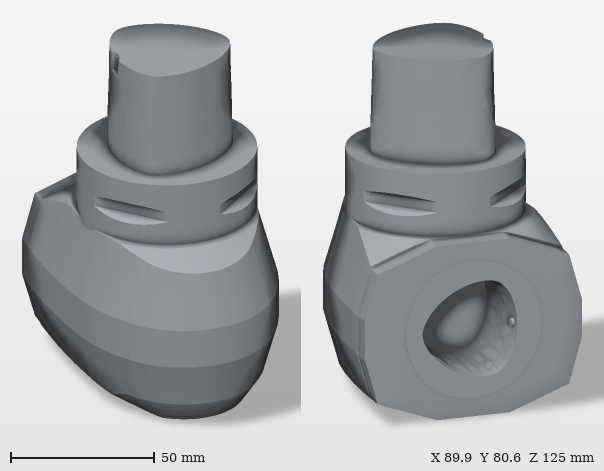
import cadquery as cq
import math


HALF_HEIGHT = 32.1
WIDTH = 80.6
HALF_WIDTH = WIDTH / 2
BELT_HALF_HEIGHT = 7.1
CORNER_Y = 35.6
CORNER_Z = 23.8
FLAT_HALF_WIDTH = 13.5
BODY_BACK_X = -32.2
STRAIGHT_END_X = -27.2
SHOULDER_X = 13.4
SHOULDER_Y = 36.2
NOSE_START_X = 36.8
NOSE_START_Y = 25.6
NOSE_TIP_X = 50.0
NOSE_LENGTH = NOSE_TIP_X - NOSE_START_X
NOSE_RADIUS = (NOSE_LENGTH ** 2 + NOSE_START_Y ** 2) / (2 * NOSE_LENGTH)
WALL_TAPER = math.degrees(math.atan((HALF_WIDTH - CORNER_Y) / (CORNER_Z - BELT_HALF_HEIGHT)))
TOP_CIRCLE_RADIUS = 34.8
TOP_CONE_ANGLE = 30.0
CHIN_TAPER = 33.5
REACH = 75.0

PLATE_THICKNESS = 7.5
PLATE_INSET = 0.2
RING_DIAMETER = 50.0
RING_HEIGHT = 0.2
FACE_X = BODY_BACK_X - PLATE_THICKNESS - RING_HEIGHT

COLLAR_DIAMETER = 63.0
COLLAR_TOP = 55.0
SLOT_Z = 42.8
SLOT_FLOOR = 28.0
SLOT_FLOOR_HEIGHT = 3.8
SLOT_FLANK_ANGLE = 30.0

LOBE_TAPER = 1 / 40
LOBE_POINTS = 36
SHANK_RADIUS = 22.0
SHANK_LOBE = 1.8
SHANK_TOP = 92.9
SOCKET_RADIUS = 17.5
SOCKET_LOBE = 1.4
SOCKET_DEPTH = 30.0
NOTCH_WIDTH = 8.0
NOTCH_DEPTH = 1.6
NOTCH_HEIGHT = 6.6
PIN_DIAMETER = 3.0
PIN_PROJECTION = 1.2
PIN_DISTANCE = 3.8


def mirrored_prism(points, plane, length):
    """Extrude an outline given on one side of the Z axis with its mirror image."""
    other_side = [(-y, z) for y, z in reversed(points)]
    return plane.polyline(points + other_side).close().extrude(length)


def section_points(inset):
    return [
        (FLAT_HALF_WIDTH, -HALF_HEIGHT + inset),
        (CORNER_Y - inset, -CORNER_Z),
        (HALF_WIDTH - inset, -BELT_HALF_HEIGHT),
        (HALF_WIDTH - inset, BELT_HALF_HEIGHT),
        (CORNER_Y - inset, CORNER_Z),
        (FLAT_HALF_WIDTH, HALF_HEIGHT - inset),
    ]


def plan_outline(z):
    """Bullet-shaped outline with its straight end extended past the back face."""
    back_x = BODY_BACK_X - REACH
    side_drop = HALF_WIDTH - SHOULDER_Y
    side_run = SHOULDER_X - STRAIGHT_END_X
    side_angle = 2 * math.atan2(side_drop, side_run)
    tangent = (math.cos(side_angle), -math.sin(side_angle))
    side_radius = side_run / math.sin(side_angle)
    mid_x = STRAIGHT_END_X + side_radius * math.sin(side_angle / 2)
    mid_y = HALF_WIDTH - side_radius * (1 - math.cos(side_angle / 2))

    chord = (NOSE_START_X - SHOULDER_X, NOSE_START_Y - SHOULDER_Y)
    normal = (tangent[1], -tangent[0])
    chord_along_normal = chord[0] * normal[0] + chord[1] * normal[1]
    cheek_radius = (chord[0] ** 2 + chord[1] ** 2) / (2 * chord_along_normal)
    cheek_center = (SHOULDER_X + cheek_radius * normal[0], SHOULDER_Y + cheek_radius * normal[1])
    outward = (
        SHOULDER_X + NOSE_START_X - 2 * cheek_center[0],
        SHOULDER_Y + NOSE_START_Y - 2 * cheek_center[1],
    )
    cheek_scale = cheek_radius / math.hypot(*outward)
    cheek_x = cheek_center[0] + cheek_scale * outward[0]
    cheek_y = cheek_center[1] + cheek_scale * outward[1]
    return (
        cq.Workplane("XY", origin=(0, 0, z))
        .moveTo(back_x, -HALF_WIDTH)
        .lineTo(STRAIGHT_END_X, -HALF_WIDTH)
        .threePointArc((mid_x, -mid_y), (SHOULDER_X, -SHOULDER_Y))
        .threePointArc((cheek_x, -cheek_y), (NOSE_START_X, -NOSE_START_Y))
        .threePointArc((NOSE_TIP_X, 0), (NOSE_START_X, NOSE_START_Y))
        .threePointArc((cheek_x, cheek_y), (SHOULDER_X, SHOULDER_Y))
        .threePointArc((mid_x, mid_y), (STRAIGHT_END_X, HALF_WIDTH))
        .lineTo(back_x, HALF_WIDTH)
        .close()
    )


def make_housing():
    taper_height = HALF_HEIGHT - BELT_HALF_HEIGHT
    belt = plan_outline(-BELT_HALF_HEIGHT).extrude(2 * BELT_HALF_HEIGHT)
    upper = plan_outline(BELT_HALF_HEIGHT).extrude(taper_height, taper=WALL_TAPER)
    lower = upper.mirror("XY")
    body = belt.union(upper).union(lower)

    lower_corner = section_points(0)[:2]
    slope = (lower_corner[1][1] - lower_corner[0][1]) / (lower_corner[1][0] - lower_corner[0][0])
    outer_z = -HALF_HEIGHT + slope * (REACH - FLAT_HALF_WIDTH)
    keel = [lower_corner[0], (REACH, outer_z), (REACH, REACH)]
    body = body.intersect(mirrored_prism(keel, cq.Workplane("YZ", origin=(BODY_BACK_X, 0, 0)), 2 * REACH))

    cone_drop = (REACH - TOP_CIRCLE_RADIUS) * math.tan(math.radians(TOP_CONE_ANGLE))
    top_limit = (
        cq.Workplane("XZ")
        .polyline([
            (0, -REACH), (REACH, -REACH), (REACH, HALF_HEIGHT - cone_drop),
            (TOP_CIRCLE_RADIUS, HALF_HEIGHT), (0, HALF_HEIGHT),
        ])
        .close()
        .revolve(360, (0, 0, 0), (0, 1, 0))
    )
    return body.intersect(top_limit).cut(make_chin_cutter())


def make_chin_cutter():
    """Material below the nose, outside a tapered tip arc with straight tangent sides."""
    height = HALF_HEIGHT - CORNER_Z
    radius = NOSE_RADIUS - (HALF_WIDTH - CORNER_Y)
    center_x = NOSE_TIP_X - NOSE_RADIUS
    sine = NOSE_START_Y / NOSE_RADIUS
    cosine = (NOSE_START_X - center_x) / NOSE_RADIUS
    arc_x = center_x + radius * cosine
    arc_y = radius * sine
    far_x = arc_x - REACH * sine
    far_y = arc_y + REACH * cosine
    kept = (
        cq.Workplane("XY", origin=(0, 0, CORNER_Z))
        .moveTo(far_x, -far_y)
        .lineTo(arc_x, -arc_y)
        .threePointArc((center_x + radius, 0), (arc_x, arc_y))
        .lineTo(far_x, far_y)
        .close()
        .extrude(height, taper=CHIN_TAPER)
        .mirror("XY")
    )
    block = cq.Workplane("XY", origin=(0, 0, -HALF_HEIGHT)).box(
        REACH, 2 * REACH, height, centered=(False, True, False)
    )
    return block.cut(kept)


def make_plate():
    plate_plane = cq.Workplane("YZ", origin=(BODY_BACK_X - PLATE_THICKNESS, 0, 0))
    plate = mirrored_prism(section_points(PLATE_INSET), plate_plane, PLATE_THICKNESS)
    ring = cq.Workplane("YZ", origin=(FACE_X, 0, 0)).circle(RING_DIAMETER / 2).extrude(PLATE_THICKNESS)
    return plate.union(ring)


def make_collar():
    collar = cq.Workplane("XY").circle(COLLAR_DIAMETER / 2).extrude(COLLAR_TOP)
    half_floor = SLOT_FLOOR_HEIGHT / 2
    slot_run = COLLAR_DIAMETER / 2 - SLOT_FLOOR
    half_mouth = half_floor + slot_run * math.tan(math.radians(SLOT_FLANK_ANGLE))
    slot = (
        cq.Workplane("XZ")
        .polyline([
            (SLOT_FLOOR, SLOT_Z - half_floor), (SLOT_FLOOR + slot_run, SLOT_Z - half_mouth),
            (SLOT_FLOOR + slot_run, SLOT_Z + half_mouth), (SLOT_FLOOR, SLOT_Z + half_floor),
        ])
        .close()
        .extrude(COLLAR_DIAMETER / 2, both=True)
    )
    for angle in (45, 135, 225, 315):
        collar = collar.cut(slot.rotate((0, 0, 0), (0, 0, 1), angle))
    return collar


def lobed_taper(radius, lobe, length):
    """Solid with three lobes along +Z, one lobe toward +Y, narrowing upward."""
    def outline(size):
        points = []
        for step in range(LOBE_POINTS):
            angle = 2 * math.pi * step / LOBE_POINTS
            reach = size - lobe * math.sin(3 * angle)
            slide = -3 * lobe * math.cos(3 * angle)
            x = reach * math.cos(angle) - slide * math.sin(angle)
            y = reach * math.sin(angle) + slide * math.cos(angle)
            points.append((x, y))
        return points

    return (
        cq.Workplane("XY")
        .spline(outline(radius), periodic=True, makeWire=True)
        .workplane(offset=length)
        .spline(outline(radius - length * LOBE_TAPER), periodic=True, makeWire=True)
        .loft(ruled=True)
    )


def make_shank():
    length = SHANK_TOP - COLLAR_TOP
    shank = lobed_taper(SHANK_RADIUS, SHANK_LOBE, length).translate((0, 0, COLLAR_TOP))
    notch_radius = ((NOTCH_WIDTH / 2) ** 2 + NOTCH_DEPTH ** 2) / (2 * NOTCH_DEPTH)
    flat_y = -(SHANK_RADIUS - SHANK_LOBE - length * LOBE_TAPER)
    notch = (
        cq.Workplane("XY", origin=(0, flat_y + NOTCH_DEPTH - notch_radius, SHANK_TOP - NOTCH_HEIGHT))
        .circle(notch_radius)
        .extrude(NOTCH_HEIGHT)
    )
    return shank.cut(notch)


def make_socket():
    """Tapered socket void, less the locating pin that stands in from its -Y wall."""
    socket = lobed_taper(SOCKET_RADIUS, SOCKET_LOBE, SOCKET_DEPTH)
    socket = socket.rotate((0, 0, 0), (0, 1, 0), 90).translate((FACE_X, 0, 0))
    wall_y = -(SOCKET_RADIUS - SOCKET_LOBE)
    pin = (
        cq.Workplane("XZ", origin=(FACE_X + PIN_DISTANCE, wall_y + PIN_PROJECTION, 0))
        .circle(PIN_DIAMETER / 2)
        .extrude(PIN_DIAMETER)
    )
    return socket.cut(pin)


result = make_housing().union(make_plate()).union(make_collar()).union(make_shank())
result = result.cut(make_socket())